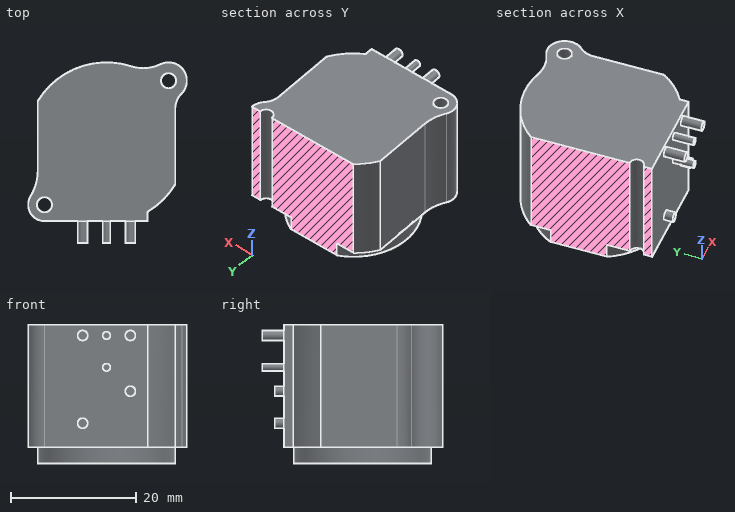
import cadquery as cq
import math

overall_depth = 28.85

body_height = 19.6
body_radius = 12.85
side_x = 11.0
front_y = -12.52
front_corner_x = 6.58

base_radius = 11.0
base_height = 2.6

hole_offset = 9.9
hole_radius = 1.18
back_lug_radius = body_radius - hole_offset
front_lug_radius = -front_y - hole_offset
back_blend_radius = 6.25
back_wall_blend_radius = 3.35
front_wall_blend_radius = 7.65

thick_pin_radius = 0.8
thin_pin_radius = 0.6
long_pin = overall_depth - body_radius + front_y
short_pin = 1.5
pin_pitch_x = 3.8
top_row_depth = 1.73
pins = [
    (-pin_pitch_x, top_row_depth, thick_pin_radius, long_pin),
    (0, top_row_depth, thin_pin_radius, long_pin),
    (pin_pitch_x, top_row_depth, thick_pin_radius, long_pin),
    (0, 6.8, thin_pin_radius, long_pin),
    (pin_pitch_x, 10.62, thick_pin_radius, short_pin),
    (-pin_pitch_x, 15.72, thick_pin_radius, short_pin),
]

origin = (0, 0)
back_lug = (hole_offset, hole_offset)
front_lug = (-hole_offset, -hole_offset)


def toward(start, target, distance):
    """Point at a distance from start along the line to target."""
    span = math.dist(start, target)
    return tuple(s + (t - s) * distance / span for s, t in zip(start, target))


def arc_middle(center, start, end, radius):
    """Middle of the shorter arc from start to end."""
    chord_middle = tuple((s + e) / 2 for s, e in zip(start, end))
    return toward(center, chord_middle, radius)


def wall_blend_center(lug_radius, blend_radius):
    """Centre of a blend tangent to the +X wall and to the back lug side facing -Y."""
    x = side_x + blend_radius
    rise = math.sqrt((lug_radius + blend_radius) ** 2 - (x - hole_offset) ** 2)
    return x, hole_offset - rise


def back_blend_center():
    """Centre of the hollow tangent to the round body and the back lug."""
    from_body = body_radius + back_blend_radius
    from_lug = back_lug_radius + back_blend_radius
    lug_distance = math.hypot(*back_lug)
    angle_at_body = math.acos(
        (from_body**2 + lug_distance**2 - from_lug**2) / (2 * from_body * lug_distance)
    )
    angle = math.atan2(hole_offset, hole_offset) + angle_at_body
    return from_body * math.cos(angle), from_body * math.sin(angle)


def housing():
    wall_end_y = math.sqrt(body_radius**2 - side_x**2)
    notch = (front_corner_x, -math.sqrt(body_radius**2 - front_corner_x**2))
    right_corner = (side_x, -wall_end_y)
    left_corner = (-side_x, wall_end_y)

    right_blend = wall_blend_center(back_lug_radius, back_wall_blend_radius)
    right_wall_top = (side_x, right_blend[1])
    right_lug_join = toward(back_lug, right_blend, back_lug_radius)

    back_blend = back_blend_center()
    back_lug_join = toward(back_lug, back_blend, back_lug_radius)
    body_join = toward(origin, back_blend, body_radius)

    left_blend = tuple(-c for c in wall_blend_center(front_lug_radius, front_wall_blend_radius))
    left_wall_bottom = (-side_x, left_blend[1])
    left_lug_join = toward(front_lug, left_blend, front_lug_radius)
    front_start = (-hole_offset, front_y)

    outer_lug_point = toward(back_lug, origin, -back_lug_radius)
    outline = (
        cq.Workplane("XY")
        .moveTo(*front_start)
        .lineTo(front_corner_x, front_y)
        .lineTo(*notch)
        .threePointArc(arc_middle(origin, notch, right_corner, body_radius), right_corner)
        .lineTo(*right_wall_top)
        .threePointArc(
            arc_middle(right_blend, right_wall_top, right_lug_join, back_wall_blend_radius),
            right_lug_join,
        )
        .threePointArc(outer_lug_point, back_lug_join)
        .threePointArc(
            arc_middle(back_blend, back_lug_join, body_join, back_blend_radius), body_join
        )
        .threePointArc(arc_middle(origin, body_join, left_corner, body_radius), left_corner)
        .lineTo(*left_wall_bottom)
        .threePointArc(
            arc_middle(left_blend, left_wall_bottom, left_lug_join, front_wall_blend_radius),
            left_lug_join,
        )
        .threePointArc(
            arc_middle(front_lug, left_lug_join, front_start, front_lug_radius), front_start
        )
        .close()
    )
    return outline.extrude(body_height)


def base():
    return cq.Workplane("XY").circle(base_radius).extrude(-base_height)


def mounting_holes():
    return (
        cq.Workplane("XY")
        .pushPoints([back_lug, front_lug])
        .circle(hole_radius)
        .extrude(body_height)
    )


def pin(x, depth, radius, length):
    return (
        cq.Workplane("XZ", origin=(x, front_y, body_height - depth))
        .circle(radius)
        .extrude(length)
    )


result = housing().cut(mounting_holes()).union(base())
for pin_sizes in pins:
    result = result.union(pin(*pin_sizes))